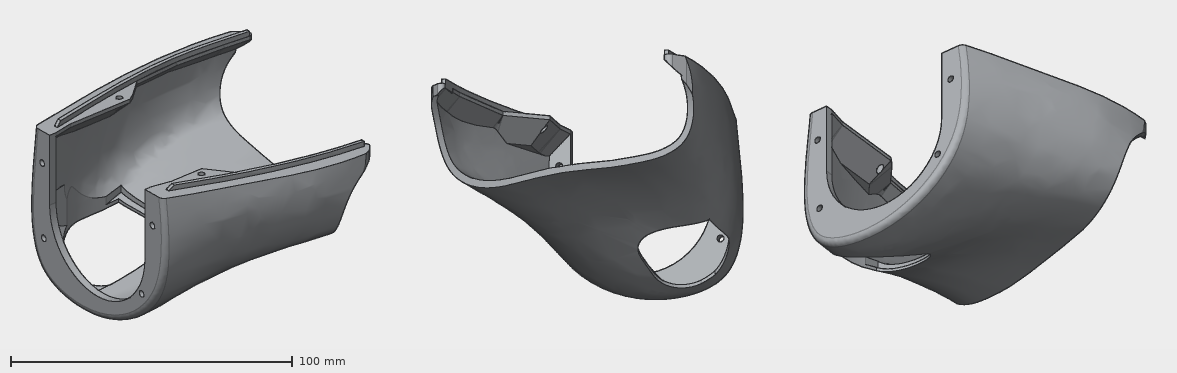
import cadquery as cq
FRONT_WALL = 4.0
REAR_WALL = 2.1
RECESS_WALL = 1.2
FLANGE = 3.0
FLANGE_ROUND = 2.5
OPENING_RADIUS = 26.0
OPENING_DEPTH = 54.4
PIN_HOLE = 2.5
TAB_PIN_DEPTH = 10.0
FLANGE_PINS = [(-30.1, -13.0), (30.1, -13.0), (-29.2, -43.2), (24.2, -43.2)]
TAB_PINS = [(-30.8, 36.7), (30.4, 22.6)]

RIM_EDGE = 1.5
RIM_TAPER_DEPTH = 8.0
RIM_TAPER_ANGLE = 45.0
LIP_WIDTH = 1.5
LIP_HEIGHT = 2.0
LIP_FRONT = 5.7
WINDOW_TOP = -30.0
MARGIN = 20.0
REACH = 150.0

HULL_SECTIONS = [
    (0, [(-34.4, 0), (-36.9, -26), (-29.2, -58), (-14, -63.2),
         (8, -61), (22, -53.5), (32.2, -41), (36.6, -14), (35.2, 0)]),
    (20, [(-38, 0), (-40.3, -22), (-32.7, -54), (-14, -61),
          (9, -57.5), (26, -48), (37, -36), (44.1, -13), (42.8, 0)]),
    (42, [(-41.5, 0), (-43.5, -18), (-38.3, -42), (-12, -49.2),
          (14, -47), (34, -40.5), (45, -31), (51.9, -12), (50.6, 0)]),
    (60, [(-43.2, 0), (-44.8, -15), (-39.5, -35), (-15, -40.5),
          (15, -40.3), (42, -36.3), (51.5, -29), (56.7, -11), (55.6, 0)]),
    (78, [(-43.5, 0), (-45, -14), (-39.5, -31), (-20, -36.4),
          (15, -36.4), (45, -34.6), (55.2, -27.7), (58.1, -10), (57.2, 0)]),
    (106, [(-40, 0), (-41.5, -14), (-37, -30), (-20, -34.6),
           (15, -35), (45, -34), (55.4, -26.5), (58.2, -10), (57.3, 0)]),
]
INWARD = [(1, 0), (1, 0), (0.7, 0.7), (0, 1), (-0.3, 0.95), (-0.5, 0.85), (-0.75, 0.65), (-1, 0), (-1, 0)]

LEFT_TAB = [(-26, 3), (-27.5, 11), (-27.5, 38.8), (-29.4, 41.8)]
LEFT_RAIL = [(-36, 49.4), (-37.3, 69), (-35.9, 90), (-34.7, 101)]
RIGHT_TAB = [(26, 3), (27.6, 11), (27.6, 25.2)]
RIGHT_RAIL = [(42, 35.8), (49.6, 66.8), (51.3, 79.7)]
LEFT_LIP_START = (-28.5, LIP_FRONT)
RIGHT_LIP_START = (30.8, LIP_FRONT)

REAR_EDGE = [(-60, 91.5), (-36, 89.8), (-2, 85.4), (26.6, 76.6), (49.3, 67.3), (65, 60)]
REAR_SCOOP = [(-1, -50), (0, -35), (1, -27), (3.2, -18.3), (6.2, -12.4), (9.9, -8.2), (15, -4)]

WINDOW_START = (-35, 40)
WINDOW_INNER_SIDE = [(-29, 41.9), (-15.5, 41.9), (-9.7, 38.8), (-7.2, 34), (-8.2, 28), (-11, 19),
                     (-16.5, 13), (-24, 10)]
WINDOW_FRONT_END = (-29, 10)
WINDOW_OUTER_SIDE = [(-34.6, 14), (-37.2, 25), WINDOW_START]
RECESS_START = (-36, 42)
RECESS_SIDE = [(-31, 43.4), (-14.8, 43.4), (-7.8, 39.6), (-5.2, 34), (-6.2, 28), (-8.7, 20), (-10, FLANGE)]


def box(x_range, y_range, z_range):
    corner = (x_range[0], y_range[0], z_range[0])
    size = (x_range[1] - x_range[0], y_range[1] - y_range[0], z_range[1] - z_range[0])
    return cq.Workplane("XY").box(*size, centered=False).translate(corner)


def behind_flange(body):
    return body.intersect(box((-REACH, REACH), (FLANGE, REACH), (-REACH, REACH)))


def hull(front_inset, rear_inset):
    """Solid loft through the hull sections, shrunk by the insets and carried on above Z = 0."""
    wires = []
    rear_y = HULL_SECTIONS[-1][0]
    rise = cq.Vector(0, 0, MARGIN)
    for y, outline in HULL_SECTIONS:
        inset = front_inset + (rear_inset - front_inset) * y / rear_y
        points = []
        for (x, z), (dx, dz) in zip(outline, INWARD):
            points.append(cq.Vector(x + dx * inset, y, z + dz * inset))
        first, last = points[0], points[-1]
        edges = [
            cq.Edge.makeSpline(points),
            cq.Edge.makeLine(last, last + rise),
            cq.Edge.makeLine(last + rise, first + rise),
            cq.Edge.makeLine(first + rise, first),
        ]
        wires.append(cq.Wire.assembleEdges(edges))
    return cq.Workplane(cq.Solid.makeLoft(wires))


def u_opening():
    """U-shaped opening through the flange."""
    center_z = OPENING_RADIUS - OPENING_DEPTH
    return (
        cq.Workplane("XZ")
        .moveTo(-OPENING_RADIUS, MARGIN)
        .lineTo(-OPENING_RADIUS, center_z)
        .threePointArc((0, -OPENING_DEPTH), (OPENING_RADIUS, center_z))
        .lineTo(OPENING_RADIUS, MARGIN)
        .close()
        .extrude(-FLANGE)
    )


def rim(tab, rail, side):
    """Rail with its tab: straight edge on top, underside sloping back to the wall."""
    outer_x = side * REACH / 2
    front, rear = tab[0], rail[-1]
    outline = [(outer_x, front[1])] + tab + rail + [(rear[0], REACH), (outer_x, REACH)]
    edge = cq.Workplane("XY").polyline(outline).close().extrude(-RIM_EDGE)
    slope = (
        cq.Workplane("XY", origin=(0, 0, -RIM_EDGE))
        .polyline([(outer_x, front[1] - MARGIN), (front[0], front[1] - MARGIN)] + outline[1:])
        .close()
        .extrude(-RIM_TAPER_DEPTH, taper=RIM_TAPER_ANGLE)
    )
    return edge.union(behind_flange(slope))


def cavity():
    """Hollow behind the flange that leaves the wall, the rails and the tabs."""
    hollow = behind_flange(hull(FRONT_WALL, REAR_WALL))
    return hollow.cut(rim(LEFT_TAB, LEFT_RAIL, -1)).cut(rim(RIGHT_TAB, RIGHT_RAIL, 1))


def lip(start, rail, side):
    """Raised strip along the inner edge of a rail with a sloping front end."""
    inner = [start] + rail
    outer = [(x + side * LIP_WIDTH, y) for x, y in inner]
    strip = (
        cq.Workplane("XY", origin=(0, 0, -RIM_EDGE))
        .moveTo(*inner[0])
        .spline(inner[1:], includeCurrent=True)
        .lineTo(*outer[-1])
        .spline(outer[-2::-1], includeCurrent=True)
        .close()
        .extrude(RIM_EDGE + LIP_HEIGHT)
    )
    front_slope = (
        cq.Workplane("YZ")
        .polyline([(LIP_FRONT, 0), (LIP_FRONT + LIP_HEIGHT, LIP_HEIGHT), (LIP_FRONT, LIP_HEIGHT)])
        .close()
        .extrude(REACH, both=True)
    )
    return strip.cut(front_slope)


def rear_cut():
    """Everything behind the swept rear edge of the shell."""
    wires = []
    for x, floor_y in REAR_EDGE:
        curve = [cq.Vector(x, floor_y + back, z) for back, z in REAR_SCOOP]
        top = cq.Vector(x, REACH, REAR_SCOOP[-1][1])
        bottom = cq.Vector(x, REACH, REAR_SCOOP[0][1])
        edges = [
            cq.Edge.makeSpline(curve),
            cq.Edge.makeLine(curve[-1], top),
            cq.Edge.makeLine(top, bottom),
            cq.Edge.makeLine(bottom, curve[0]),
        ]
        wires.append(cq.Wire.assembleEdges(edges))
    return cq.Workplane(cq.Solid.makeLoft(wires))


def plan_outline():
    """Plan that gives both rails their bevelled, rounded rear tips."""
    return (
        cq.Workplane("XY", origin=(0, 0, -REACH))
        .moveTo(-REACH, -MARGIN)
        .lineTo(-REACH, 90)
        .lineTo(-45.5, 93)
        .lineTo(-42, 98)
        .lineTo(-38, 102.3)
        .threePointArc((-35.7, 102.6), (-34.7, 101))
        .lineTo(-34.5, 92)
        .threePointArc((10, 85.5), (50.8, 73))
        .lineTo(51.3, 79.7)
        .threePointArc((52.3, 81.7), (54, 81.2))
        .lineTo(56.2, 79)
        .lineTo(57.6, 76)
        .lineTo(58.5, 72)
        .lineTo(REACH, 72)
        .lineTo(REACH, -MARGIN)
        .close()
        .extrude(2 * REACH)
    )


def window():
    """Vertical cutter for the opening through the lower left of the shell."""
    return (
        cq.Workplane("XY", origin=(0, 0, -REACH))
        .moveTo(*WINDOW_START)
        .spline(WINDOW_INNER_SIDE, includeCurrent=True)
        .lineTo(*WINDOW_FRONT_END)
        .spline(WINDOW_OUTER_SIDE, includeCurrent=True)
        .close()
        .extrude(REACH + WINDOW_TOP)
    )


def recess():
    """Shallow pocket in the inside of the shell, around the window and on to the flange."""
    plan = (
        cq.Workplane("XY", origin=(0, 0, -REACH))
        .moveTo(*RECESS_START)
        .spline(RECESS_SIDE, includeCurrent=True)
        .lineTo(RECESS_START[0], FLANGE)
        .close()
        .extrude(REACH + WINDOW_TOP)
    )
    return plan.intersect(hull(RECESS_WALL, RECESS_WALL))


shell = hull(0, 0)
shell = shell.cut(box((-REACH, REACH), (-REACH, REACH), (0, REACH)))
shell = shell.intersect(plan_outline()).cut(rear_cut())
shell = shell.faces("<Y").edges("<Z").fillet(FLANGE_ROUND)
shell = shell.cut(cavity())
shell = shell.cut(u_opening())
shell = shell.cut(recess())
shell = shell.cut(window())
shell = shell.union(lip(LEFT_LIP_START, LEFT_RAIL, -1)).union(lip(RIGHT_LIP_START, RIGHT_RAIL, 1))
for x, z in FLANGE_PINS:
    shell = shell.cut(cq.Workplane("XZ").center(x, z).circle(PIN_HOLE / 2).extrude(-FLANGE))
for x, y in TAB_PINS:
    shell = shell.cut(cq.Workplane("XY").center(x, y).circle(PIN_HOLE / 2).extrude(-TAB_PIN_DEPTH))
result = shell